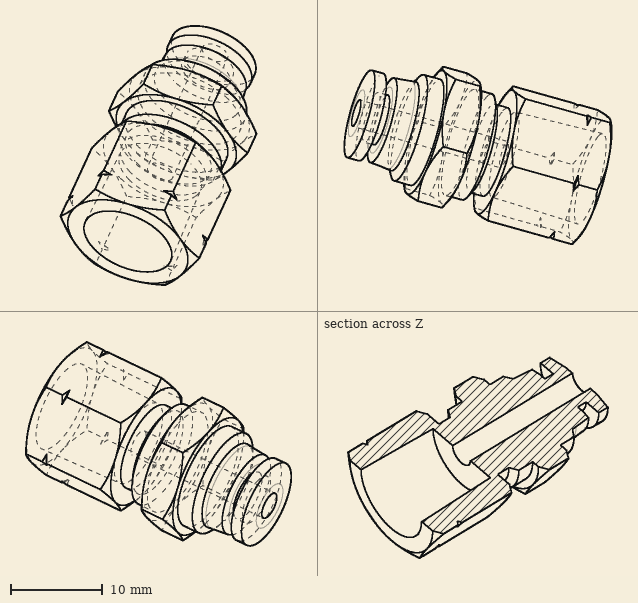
import cadquery as cq
import math

LENGTH = 27.1
FLATS = 14.0
CORNERS = FLATS / math.cos(math.radians(30))
HEX_CHAMFER_ANGLE = 30.0

SOCKET_HEX_END = 11.0
NECK_END = 12.55
THREAD_START = 13.12
NUT_START = 15.1
NUT_END = 19.1
THREAD_END = 21.0
CONE_FOOT = 21.63
CONE_START = 22.1
CONE_END = 24.1
SLEEVE_END = 24.25
RIM_START = 25.4
RIM_END = 26.72

NECK_R = 5.0
THREAD_R = 6.02
CONE_FOOT_R = 5.05
CONE_START_R = 4.99
CONE_END_R = 4.8
SLEEVE_END_R = 3.75
STEM_R = 2.82
RIM_R = 4.95
RIM_FACE_R = 2.65

BORE_MOUTH_R = 5.12
BORE_FLOOR_R = 4.82
BORE_DEPTH = 10.0
HOLE_R = 1.5

NICK_Y = 3.04
NICK_DEPTH = 0.45
NICK_HALF_WIDTH = 0.27

START_Y = -LENGTH / 2


def revolve_profile(points):
    """Turn an outline of (radius, station) points about the Y axis."""
    profile = cq.Workplane("XY").polyline(points).close()
    return profile.revolve(360, (0, 0, 0), (0, 1, 0))


def chamfered_hex(start, end):
    """Hexagon with corners along X, both ends cut by cones tangent to the flats."""
    corner_r = CORNERS / 2
    face_r = FLATS / 2
    chamfer = (corner_r - face_r) * math.tan(math.radians(HEX_CHAMFER_ANGLE))
    prism = (
        cq.Workplane("XZ", origin=(0, start, 0))
        .polygon(6, CORNERS)
        .extrude(start - end)
    )
    envelope = revolve_profile([
        (0, start),
        (face_r, start),
        (corner_r, start + chamfer),
        (corner_r, end - chamfer),
        (face_r, end),
        (0, end),
    ])
    return prism.intersect(envelope)


def corner_nicks():
    """Ring of V section, reaching just outside the hexagon corners."""
    root_r = CORNERS / 2 - NICK_DEPTH
    outer_r = CORNERS / 2 + NICK_DEPTH
    outer_half_width = 2 * NICK_HALF_WIDTH
    return revolve_profile([
        (root_r, NICK_Y),
        (outer_r, NICK_Y - outer_half_width),
        (outer_r, NICK_Y + outer_half_width),
    ])


def turned_body():
    """Neck, threaded barrel, conical sleeve and release rim."""
    return revolve_profile([
        (0, 0),
        (NECK_R, 0),
        (NECK_R, NECK_END),
        (THREAD_R, THREAD_START),
        (THREAD_R, THREAD_END),
        (CONE_FOOT_R, CONE_FOOT),
        (CONE_START_R, CONE_START),
        (CONE_END_R, CONE_END),
        (SLEEVE_END_R, SLEEVE_END),
        (STEM_R, SLEEVE_END),
        (STEM_R, RIM_START),
        (RIM_R, RIM_START),
        (RIM_R, RIM_END),
        (RIM_FACE_R, LENGTH),
        (0, LENGTH),
    ])


def passage():
    """Tapered socket followed by the small hole through the rest of the part."""
    return revolve_profile([
        (0, 0),
        (BORE_MOUTH_R, 0),
        (BORE_FLOOR_R, BORE_DEPTH),
        (HOLE_R, BORE_DEPTH),
        (HOLE_R, LENGTH),
        (0, LENGTH),
    ])


socket_hex = chamfered_hex(0, SOCKET_HEX_END).cut(corner_nicks())
nut = chamfered_hex(NUT_START, NUT_END)
fitting = turned_body().union(socket_hex).union(nut).cut(passage())
result = fitting.translate((0, START_Y, 0))